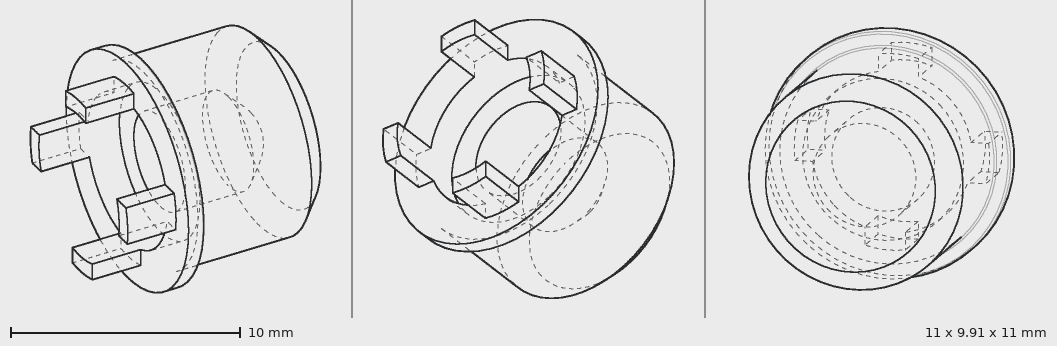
import cadquery as cq
import math

flange_thickness = 0.8
body_end = 7.51
prong_length = 2.4

flange_diameter = 11.0
body_diameter = 9.6
end_chamfer = 1.0
flange_round = 0.1

counterbore_diameter = 7.2
counterbore_depth = 1.6
bore_diameter = 4.6
bore_depth = 5.0
bottom_cone_angle = 45.0
bottom_sphere_radius = 2.0

prong_count = 4
prong_outer_diameter = 8.75
prong_long_side = 1.2
prong_short_side = 0.6


def cylinder(diameter, start, end):
    """Cylinder on the Y axis between two Y positions."""
    return cq.Workplane("XZ", origin=(0, end, 0)).circle(diameter / 2).extrude(end - start)


def make_shell():
    """Flange and chamfered body, with small rounds at the flange edge and the body root."""
    flange = cylinder(flange_diameter, 0, flange_thickness)
    body = cylinder(body_diameter, 0, body_end).faces(">Y").chamfer(end_chamfer)
    rounded_plane = cq.selectors.BoxSelector(
        (-flange_diameter, flange_thickness - flange_round, -flange_diameter),
        (flange_diameter, flange_thickness + flange_round, flange_diameter),
    )
    return flange.union(body).edges(rounded_plane).edges("%CIRCLE").fillet(flange_round)


def make_bore():
    """Counterbore from the prong tips, straight bore, cone and spherical cap, as one solid."""
    angle = math.radians(bottom_cone_angle)
    bore_radius = bore_diameter / 2
    counterbore_radius = counterbore_diameter / 2
    cap_radius = bottom_sphere_radius * math.sin(angle)
    cap_start = bore_depth + (bore_radius - cap_radius) / math.tan(angle)
    sphere_center = cap_start - bottom_sphere_radius * math.cos(angle)
    cap_middle = (
        bottom_sphere_radius * math.sin(angle / 2),
        sphere_center + bottom_sphere_radius * math.cos(angle / 2),
    )
    profile = (
        cq.Workplane("XY")
        .moveTo(0, -prong_length)
        .lineTo(counterbore_radius, -prong_length)
        .lineTo(counterbore_radius, counterbore_depth)
        .lineTo(bore_radius, counterbore_depth)
        .lineTo(bore_radius, bore_depth)
        .lineTo(cap_radius, cap_start)
        .threePointArc(cap_middle, (0, sphere_center + bottom_sphere_radius))
        .close()
    )
    return profile.revolve(360, (0, 0, 0), (0, 1, 0))


def make_prong():
    """Prong on the +Z side, still solid inwards to the centre plane and reaching into the flange."""
    disc = cylinder(prong_outer_diameter, -prong_length, flange_thickness)
    slab = cq.Workplane("XY").box(
        prong_long_side + prong_short_side,
        prong_length + flange_thickness,
        prong_outer_diameter / 2,
        centered=False,
    )
    return disc.intersect(slab.translate((-prong_long_side, -prong_length, 0)))


result = make_shell()
for index in range(prong_count):
    angle = index * 360 / prong_count
    result = result.union(make_prong().rotate((0, 0, 0), (0, 1, 0), angle))

result = result.cut(make_bore())